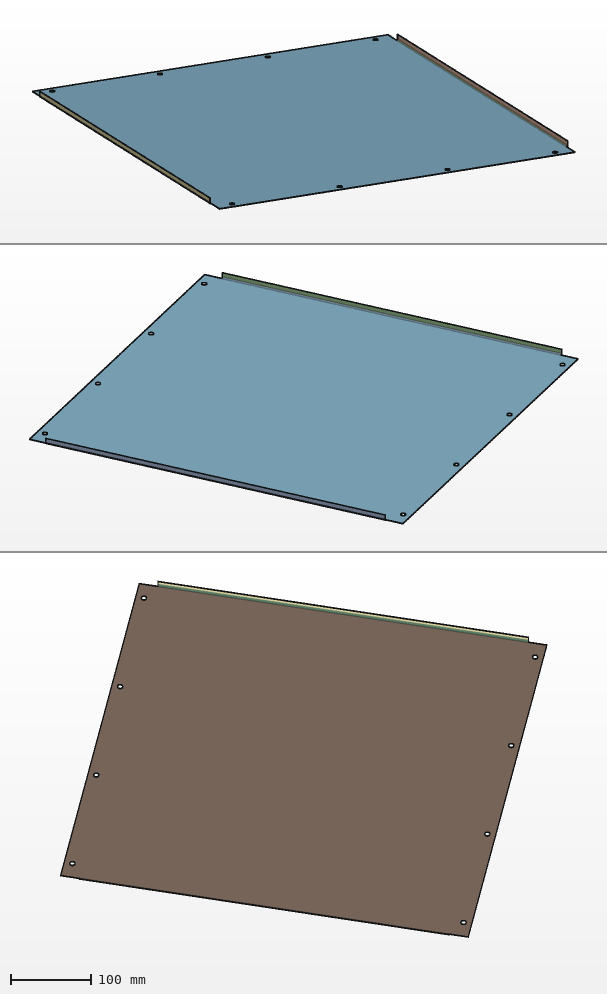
import cadquery as cq

panel_length = 517.0
overall_width = 499.0
overall_height = 8.0
sheet_thickness = 1.0
bend_inner_radius = 1.0
bend_outer_radius = bend_inner_radius + sheet_thickness

flange_length = 470.0

flat_width = overall_width - 2 * bend_outer_radius

hole_diameter = 6.5
hole_edge_distance = 10.5
hole_pitch = 150.0
holes_per_row = 4


def make_flat_panel():
    return cq.Workplane("XY").box(
        panel_length, flat_width, sheet_thickness, centered=(True, True, False)
    )


def make_flange(side):
    """Bend and upright flange along the edge at +Y (side = 1) or -Y (side = -1)."""
    outer_face = side * overall_width / 2
    inner_face = side * (overall_width / 2 - sheet_thickness)
    bend_start = side * flat_width / 2
    profile = (
        cq.Workplane("YZ", origin=(-flange_length / 2, 0, 0))
        .moveTo(bend_start, 0)
        .radiusArc((outer_face, bend_outer_radius), -side * bend_outer_radius)
        .lineTo(outer_face, overall_height)
        .lineTo(inner_face, overall_height)
        .lineTo(inner_face, bend_outer_radius)
        .radiusArc((bend_start, sheet_thickness), side * bend_inner_radius)
        .close()
    )
    return profile.extrude(flange_length)


def make_mounting_holes():
    return (
        cq.Workplane("XY")
        .rarray(panel_length - 2 * hole_edge_distance, hole_pitch, 2, holes_per_row)
        .circle(hole_diameter / 2)
        .extrude(sheet_thickness)
    )


panel = make_flat_panel()
for side in (1, -1):
    panel = panel.union(make_flange(side))
result = panel.cut(make_mounting_holes())